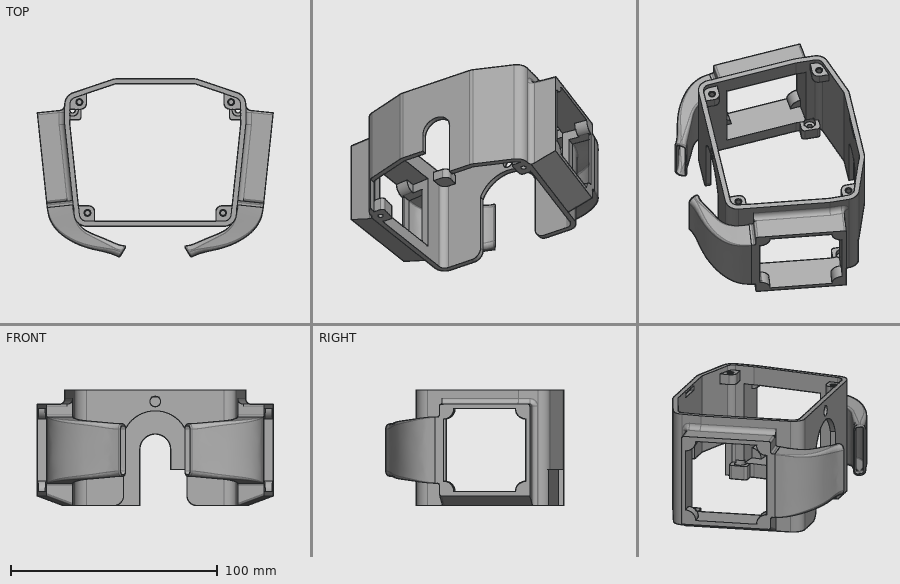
import cadquery as cq
import math

HEIGHT = 56.0
WALL = 2.5

SIDE_TILT = 6.0
SIDE_HALF_WIDTH = 43.8
SIDE_BEND_Y = 49.4
REAR_CORNER_Y = 63.3
REAR_FLAT_HALF = 19.6
DEPTH = 71.42
FRONT_CORNER_HALF = SIDE_HALF_WIDTH - SIDE_BEND_Y * math.tan(math.radians(SIDE_TILT))
CORNER_RADIUS = 6.0

FRONT_OPENING_HALF = 15.25
FRONT_ARCH_RADIUS = 16.3
FRONT_ARCH_TOP = 45.9
FRONT_FOOT_RADIUS = 5.0
REAR_ARCH_RADIUS = 7.4
REAR_ARCH_TOP = 34.6
NOTCH_HEIGHT = 17.4
NOTCH_END_X = 41.0
CABLE_HOLE_DIAMETER = 5.1
CABLE_HOLE_Z = 50.4
RECESS_WIDTH = 12.4
RECESS_HEIGHT = 2.2
RECESS_DEPTH = 1.8
RECESS_BASE_Z = 52.6

POST_TOP = HEIGHT - 2.6
POST_HEIGHT = 5.0
POST_MARGIN = 3.5
POST_CORNER_RADIUS = 3.0
POST_HOLE_DIAMETER = 2.5
POST_HOLE_DEPTH = 4.0
POST_HOLE_CHAMFER = 0.4
POST_CENTERS = ((32.8, 6.5), (36.7, 60.1))

LUG_X = 40.0
LUG_Y = 56.1
LUG_REACH_X = 4.2
LUG_REACH_Y = 4.6
LUG_HEIGHT = 6.8
LUG_CORNER_RADIUS = 1.5
LUG_HOLE_DIAMETER = 2.5
LUG_COUNTERBORE_DIAMETER = 5.6
LUG_COUNTERBORE_FLOOR = 4.0
LUG_COUNTERBORE_TOP = 8.0

FAN_SIZE = 40.0
FAN_WALL = 2.0
FRAME_LENGTH = FAN_SIZE + 2 * FAN_WALL
FRAME_OUT = 12.66
FRAME_REAR = 6.9
FRAME_FRONT = FRAME_REAR - FRAME_LENGTH
FRAME_MIDDLE = FRAME_REAR - FRAME_LENGTH / 2
FRAME_BOTTOM = 4.7
FRAME_TOP = 49.1
FRAME_CENTER_Z = (FRAME_BOTTOM + FRAME_TOP) / 2
FRAME_EDGE_RADIUS = 1.0
FRAME_ROOT_RADIUS = 2.7
FRAME_SINK = 1.2
FAN_BOSS_RADIUS = 5.0
FAN_BOSS_DEPTH = 6.4

DUCT_WALL = 1.0
COLLAR_LENGTH = 2.1
COLLAR_END = FRAME_FRONT - COLLAR_LENGTH
COLLAR_FILLET = 0.9
NOZZLE_ROOT_HEIGHT = 32.2
NOZZLE_TIP_HEIGHT = 25.5
NOZZLE_ROOT_RADIUS = 0.3
NOZZLE_TIP_RADIUS = 2.6
NOZZLE_RADIUS_GROWTH = 1.5
NOZZLE_RIM_RADIUS = 0.6
CLEAR = 5.0


def side_point(along, out):
    """Plan position of a point given in the right-hand tilted side plane."""
    tilt = math.radians(SIDE_TILT)
    x = SIDE_HALF_WIDTH + along * math.sin(tilt) + out * math.cos(tilt)
    y = SIDE_BEND_Y + along * math.cos(tilt) - out * math.sin(tilt)
    return x, y


NOZZLE_SECTIONS = (
    (side_point(COLLAR_END, FRAME_OUT), side_point(COLLAR_END, 0)),
    ((50.2, 1.8), (38.8, 5.0)),
    ((46.4, -3.0), (36.4, 0.5)),
    ((38.7, -8.1), (31.4, -3.2)),
    ((28.6, -11.5), (24.0, -6.2)),
    ((17.3, -15.0), (13.8, -9.3)),
)


def side_plane(out):
    """Plane parallel to the right side wall: local x along, local y up, normal outward."""
    tilt = math.radians(SIDE_TILT)
    x, y = side_point(0, out)
    return cq.Plane(
        origin=(x, y, 0),
        xDir=(math.sin(tilt), math.cos(tilt), 0),
        normal=(math.cos(tilt), -math.sin(tilt), 0),
    )


def side_box(along_min, along_max, z_min, z_max, out_min, out_max):
    """Box aligned with the right side wall."""
    return (
        cq.Workplane(side_plane(out_min))
        .center((along_min + along_max) / 2, (z_min + z_max) / 2)
        .rect(along_max - along_min, z_max - z_min)
        .extrude(out_max - out_min)
    )


def mirrored(body):
    return body.mirror("YZ")


def on_both_sides(body):
    return body.union(mirrored(body))


def shell_prism(inset):
    """Shell outline moved inward by inset and extruded to full height."""
    right = [
        (FRONT_CORNER_HALF, 0),
        (SIDE_HALF_WIDTH, SIDE_BEND_Y),
        (SIDE_HALF_WIDTH, REAR_CORNER_Y),
        (REAR_FLAT_HALF, DEPTH),
    ]
    left = [(-x, y) for x, y in reversed(right)]
    outline = cq.Workplane("XY").polyline(right + left).close()
    if inset:
        outline = outline.offset2D(-inset)
    prism = outline.extrude(HEIGHT)
    corners = prism.edges("|Z").filter(lambda edge: abs(edge.Center().y - SIDE_BEND_Y) > WALL)
    return corners.fillet(CORNER_RADIUS - inset)


def frame_blank():
    """Solid fan frame whose underside slopes down to the base at the wall."""
    tilt = math.radians(SIDE_TILT)
    profile_plane = cq.Plane(
        origin=(*side_point(FRAME_FRONT, 0), 0),
        xDir=(math.cos(tilt), -math.sin(tilt), 0),
        normal=(-math.sin(tilt), -math.cos(tilt), 0),
    )
    blank = (
        cq.Workplane(profile_plane)
        .moveTo(-FRAME_SINK, 0)
        .lineTo(0, 0)
        .lineTo(FRAME_OUT, FRAME_BOTTOM)
        .lineTo(FRAME_OUT, FRAME_TOP)
        .lineTo(-FRAME_SINK, FRAME_TOP)
        .close()
        .extrude(-FRAME_LENGTH)
    )

    def is_rounded(edge):
        center = edge.Center()
        runs_outward = abs(edge.tangentAt(0.5).x) > math.cos(math.radians(45))
        rear_top = center.y > SIDE_BEND_Y and center.z > FRAME_CENTER_Z
        front_bottom = center.y < SIDE_BEND_Y / 2 and FRAME_BOTTOM / 4 < center.z < FRAME_CENTER_Z
        return runs_outward and (rear_top or front_bottom)

    rounded_edges = blank.edges().filter(is_rounded).vals()
    return cq.Workplane(blank.val().fillet(FRAME_EDGE_RADIUS, rounded_edges))


def frame_front_rounding():
    """Tool that rounds the top edge of the frame's front face."""
    r = FRAME_EDGE_RADIUS
    corner = side_box(FRAME_FRONT, FRAME_FRONT + r, FRAME_TOP - r, FRAME_TOP, FRAME_ROOT_RADIUS, FRAME_OUT + r)
    rod = (
        cq.Workplane(side_plane(FRAME_ROOT_RADIUS))
        .center(FRAME_FRONT + r, FRAME_TOP - r)
        .circle(r)
        .extrude(FRAME_OUT)
    )
    return corner.cut(rod)


def collar_blank():
    """Short solid duct stub on the front face of the frame."""
    half_height = NOZZLE_ROOT_HEIGHT / 2
    low, high = FRAME_CENTER_Z - half_height, FRAME_CENTER_Z + half_height
    return side_box(COLLAR_END, FRAME_MIDDLE, low, high, -FRAME_SINK, FRAME_OUT)


def is_frame_root(edge):
    """True for the edges where the top and rear of a frame meet the shell wall."""
    center = edge.Center()
    tangent = edge.tangentAt(0.5)
    rear_root_y = side_point(FRAME_REAR, 0)[1]
    rear_root = abs(tangent.z) > 0.5 and abs(center.y - rear_root_y) < FRAME_EDGE_RADIUS
    top_root = (
        abs(tangent.y) > 0.5
        and abs(center.z - FRAME_TOP) < FRAME_EDGE_RADIUS
        and abs(center.x) < SIDE_HALF_WIDTH + FRAME_SINK
    )
    return rear_root or top_root


def is_collar_root(edge):
    """True for the edges where the top and bottom of a collar meet the frame's front face."""
    center = edge.Center()
    target_x, target_y = side_point(FRAME_FRONT, FRAME_OUT / 2)
    same_place = math.hypot(abs(center.x) - target_x, center.y - target_y) < FRAME_EDGE_RADIUS
    at_collar = abs(abs(center.z - FRAME_CENTER_Z) - NOZZLE_ROOT_HEIGHT / 2) < FRAME_EDGE_RADIUS
    return same_place and at_collar


def fan_opening():
    """Square fan opening through frame and shell wall, with the four screw bosses left standing."""
    half = FAN_SIZE / 2
    low, high = FRAME_CENTER_Z - half, FRAME_CENTER_Z + half
    rear, front = FRAME_MIDDLE + half, FRAME_MIDDLE - half
    opening = side_box(front, rear, low, high, -2 * WALL, FRAME_OUT + CLEAR)
    bosses = (
        cq.Workplane(side_plane(FRAME_OUT - FAN_BOSS_DEPTH))
        .pushPoints([(along, z) for along in (front, rear) for z in (low, high)])
        .circle(FAN_BOSS_RADIUS)
        .extrude(FAN_BOSS_DEPTH + CLEAR)
        .intersect(side_box(front, rear, low, high, 0, FRAME_OUT))
    )
    return opening.cut(bosses)


def air_inlet():
    """Passage from the fan opening through the frame's front wall and the collar."""
    half_height = NOZZLE_ROOT_HEIGHT / 2 - DUCT_WALL
    return side_box(
        COLLAR_END - CLEAR,
        FRAME_FRONT + 2 * FAN_WALL,
        FRAME_CENTER_Z - half_height,
        FRAME_CENTER_Z + half_height,
        DUCT_WALL,
        FRAME_OUT - DUCT_WALL,
    )


def front_opening():
    """Arched opening in the front wall whose feet flare out with a radius at the base."""
    r = FRONT_FOOT_RADIUS
    half = FRONT_OPENING_HALF
    spring = FRONT_ARCH_TOP - FRONT_ARCH_RADIUS + math.sqrt(FRONT_ARCH_RADIUS**2 - half**2)
    return (
        cq.Workplane("XZ")
        .moveTo(-half - r, 0)
        .radiusArc((-half, r), -r)
        .lineTo(-half, spring)
        .threePointArc((0, FRONT_ARCH_TOP), (half, spring))
        .lineTo(half, r)
        .radiusArc((half + r, 0), -r)
        .close()
        .extrude(-CORNER_RADIUS)
    )


def rear_opening():
    """Narrow arched opening in the rear wall and the low notch on its +X side."""
    r = REAR_ARCH_RADIUS
    spring = REAR_ARCH_TOP - r
    start_y = LUG_Y + LUG_REACH_Y
    arch = (
        cq.Workplane("XZ", origin=(0, start_y, 0))
        .moveTo(-r, 0)
        .lineTo(-r, spring)
        .threePointArc((0, REAR_ARCH_TOP), (r, spring))
        .lineTo(r, 0)
        .close()
        .extrude(start_y - DEPTH - CLEAR)
    )
    notch = (
        cq.Workplane("XY")
        .box(NOTCH_END_X, DEPTH - start_y + CLEAR, NOTCH_HEIGHT, centered=False)
        .translate((0, start_y, 0))
    )
    return arch.union(notch)


def cable_hole():
    """Round hole through the front wall above the arch."""
    return (
        cq.Workplane("XZ")
        .center(0, CABLE_HOLE_Z)
        .circle(CABLE_HOLE_DIAMETER / 2)
        .extrude(-CORNER_RADIUS)
    )


def rear_recess():
    """Shallow slot in the inner face of the rear wall."""
    return (
        cq.Workplane("XY")
        .box(RECESS_WIDTH, 2 * RECESS_DEPTH, RECESS_HEIGHT, centered=(True, True, False))
        .translate((0, DEPTH - WALL, RECESS_BASE_Z))
    )


def post(center, inward_y):
    """Right-hand cover post; inward_y is +1 or -1, the Y direction away from its end wall."""
    x, y = center
    inner_x = x - POST_MARGIN
    inner_y = y + inward_y * POST_MARGIN
    size_x = SIDE_HALF_WIDTH - inner_x
    size_y = 2 * CORNER_RADIUS
    block = (
        cq.Workplane("XY")
        .box(size_x, size_y, POST_HEIGHT)
        .translate((inner_x + size_x / 2, inner_y - inward_y * size_y / 2, POST_TOP - POST_HEIGHT / 2))
    )
    inner_corner = block.edges("|Z").filter(
        lambda edge: math.hypot(edge.Center().x - inner_x, edge.Center().y - inner_y) < POST_MARGIN
    )
    rounded = cq.Workplane(block.val().fillet(POST_CORNER_RADIUS, inner_corner.vals()))
    hole = (
        cq.Workplane("XY", origin=(x, y, POST_TOP))
        .circle(POST_HOLE_DIAMETER / 2)
        .extrude(-POST_HOLE_DEPTH)
        .faces(">Z")
        .workplane()
        .circle(POST_HOLE_DIAMETER / 2 + POST_HOLE_CHAMFER)
        .extrude(-POST_HOLE_CHAMFER, taper=45)
    )
    return rounded.cut(hole)


def lug():
    """Block at the base of the right side wall."""
    inner_x = LUG_X - LUG_REACH_X
    block = (
        cq.Workplane("XY")
        .box(SIDE_HALF_WIDTH - inner_x, 2 * LUG_REACH_Y, LUG_HEIGHT, centered=(False, True, False))
        .translate((inner_x, LUG_Y, 0))
    )
    return block.edges("|Z and <X").fillet(LUG_CORNER_RADIUS)


def lug_hole():
    """Screw hole with a counterbore that also bites into the side wall."""
    bore = cq.Workplane("XY", origin=(LUG_X, LUG_Y, 0)).circle(LUG_HOLE_DIAMETER / 2).extrude(LUG_HEIGHT)
    counterbore = (
        cq.Workplane("XY", origin=(LUG_X, LUG_Y, LUG_COUNTERBORE_FLOOR))
        .circle(LUG_COUNTERBORE_DIAMETER / 2)
        .extrude(LUG_COUNTERBORE_TOP - LUG_COUNTERBORE_FLOOR)
    )
    return bore.union(counterbore)


def interior():
    """Space inside the shell, with the cover posts and base lugs left standing."""
    space = shell_prism(WALL)
    for center, inward_y in zip(POST_CENTERS, (1, -1)):
        space = space.cut(on_both_sides(post(center, inward_y)))
    return space.cut(on_both_sides(lug()))


def make_housing():
    """Shell with both fan frames, collars, posts and lugs."""
    body = shell_prism(0).union(on_both_sides(frame_blank()))
    body = cq.Workplane(body.val().fillet(FRAME_ROOT_RADIUS, body.edges().filter(is_frame_root).vals()))
    body = body.cut(on_both_sides(frame_front_rounding()))
    body = body.union(on_both_sides(collar_blank()))
    body = cq.Workplane(body.val().fillet(COLLAR_FILLET, body.edges().filter(is_collar_root).vals()))
    body = body.cut(interior())
    for cutter in (fan_opening(), air_inlet()):
        body = body.cut(on_both_sides(cutter))
    for cutter in (front_opening(), rear_opening(), cable_hole(), rear_recess()):
        body = body.cut(cutter)
    return body.cut(on_both_sides(lug_hole()))


def nozzle_section(index, inset):
    """Upright rounded rectangle across the right nozzle, shrunk by inset all round."""
    (outer_x, outer_y), (inner_x, inner_y) = NOZZLE_SECTIONS[index]
    fraction = index / (len(NOZZLE_SECTIONS) - 1)
    height = NOZZLE_ROOT_HEIGHT + fraction * (NOZZLE_TIP_HEIGHT - NOZZLE_ROOT_HEIGHT)
    growth = fraction**NOZZLE_RADIUS_GROWTH
    radius = NOZZLE_ROOT_RADIUS + growth * (NOZZLE_TIP_RADIUS - NOZZLE_ROOT_RADIUS)
    across = cq.Vector(outer_x - inner_x, outer_y - inner_y, 0)
    plane = cq.Plane(
        origin=((outer_x + inner_x) / 2, (outer_y + inner_y) / 2, FRAME_CENTER_Z),
        xDir=across,
        normal=across.cross(cq.Vector(0, 0, 1)),
    )
    outline = cq.Sketch().rect(across.Length - 2 * inset, height - 2 * inset)
    outline = outline.vertices().fillet(max(radius - inset, NOZZLE_ROOT_RADIUS))
    return outline.moved(cq.Location(plane))


def nozzle_loft(inset):
    """Curved body through all nozzle sections."""
    sections = [nozzle_section(index, inset) for index in range(len(NOZZLE_SECTIONS))]
    wires = [section.faces().val().outerWire() for section in sections]
    return cq.Workplane(cq.Solid.makeLoft(wires))


def make_nozzle():
    """Hollow right-hand nozzle with a rounded rim, fitted against the shell."""
    blank = nozzle_loft(0)
    (outer_x, outer_y), (inner_x, inner_y) = NOZZLE_SECTIONS[-1]
    tip = cq.Vector((outer_x + inner_x) / 2, (outer_y + inner_y) / 2, FRAME_CENTER_Z)
    rim = min(blank.faces().vals(), key=lambda face: (face.Center() - tip).Length).Edges()
    blank = cq.Workplane(blank.val().fillet(NOZZLE_RIM_RADIUS, rim))
    return blank.cut(nozzle_loft(DUCT_WALL)).cut(shell_prism(0))


housing = make_housing()
nozzle = make_nozzle()
nozzles = [nozzle, mirrored(nozzle)]
result = cq.Compound.makeCompound([housing.val(), *[body.val() for body in nozzles]])